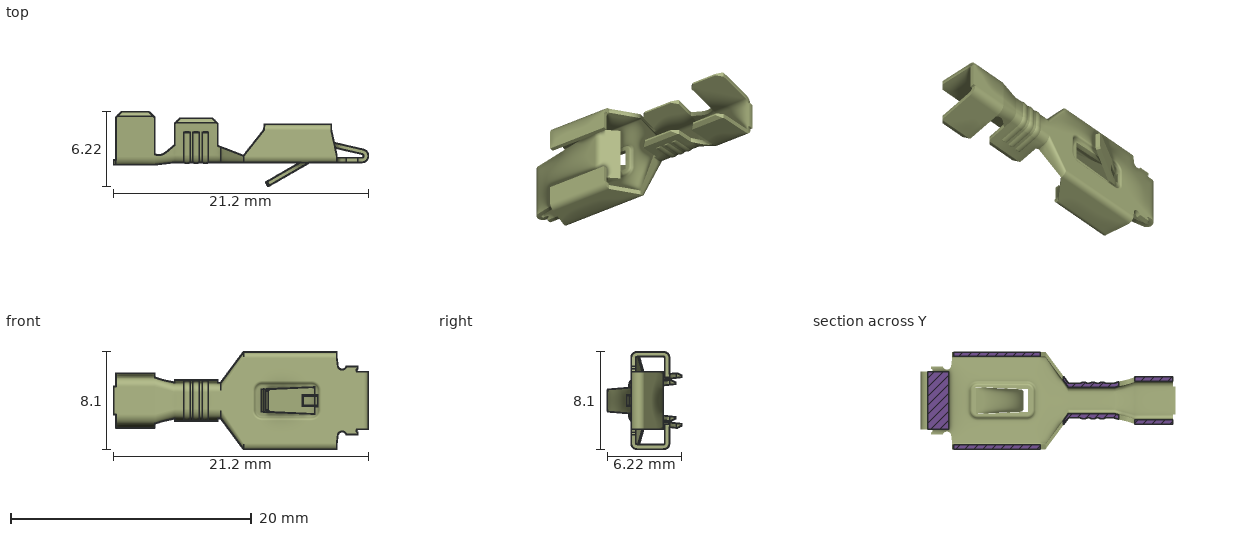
import cadquery as cq
import math

SHEET = 0.4
MARGIN = 1.0

TAB_LENGTH = 0.19
INSULATION_END_X = 3.42
INSULATION_BASE_Y = -0.19
INSULATION_TOP_Y = 4.23
INSULATION_FLAT = 1.18
INSULATION_RADIUS = 0.73

DIP_START_Y = 0.7
DIP_BOTTOM = (3.82, 0.62)
DIP_RISE = (4.3, 0.82)

WIRE_START_X = 5.06
WIRE_WING_END_X = 8.66
WIRE_END_X = 8.9
WIRE_BASE_Y = 0.0
WIRE_TOP_Y = 3.7
WIRE_FLAT = 0.735
WIRE_RADIUS = 0.68
WIRE_SIDE_START_Y = 1.45
WIRE_SIDE_END_Y = 1.4
WIRE_END_Y = 1.3

WING_LEAN = 6.5
WING_BEVEL_HEIGHT = 0.4
WING_BEVEL_DEPTH = 0.25
WING_CHAMFER = 0.48

BEAD_CENTERS_X = (6.09, 6.85, 7.62)
BEAD_HALF_WIDTH = 0.26
BEAD_HEIGHT = 0.07
BEAD_TOP_Y = 2.56
BEAD_END_BEVEL = 0.06

BODY_START_X = 10.8
BODY_END_X = 18.56
BODY_HALF_WIDTH = 4.05
BODY_HEIGHT = 3.2
BODY_RADIUS = 0.5
BODY_FLAT = BODY_HALF_WIDTH - BODY_RADIUS
LIP_EDGE_Z = 1.95
LIP_START_X = 12.54
LIP_END_X = 18.1
LIP_STEP_Z = 3.45
LIP_STEP = 0.12
WALL_TOP_START_X = 12.48
WALL_FOOT_Y = 0.57

NECK_START_X = 18.65
NECK_HALF_WIDTH = 2.84
NECK_END_X = 20.31
NOTCH_END_X = 19.34
NOTCH_BOTTOM_Z = 2.58
RELIEF_RADIUS = 0.12

SPRING_HALF_WIDTH = 2.4
FOLD_RADIUS = 0.55
FOLD_TIP_X = 21.18
SPRING_RISE = 13.0
SPRING_DIP = 41.0
CREST_X = 13.64
SPRING_END_X = 12.2
CREST_RADIUS = 0.55

PANEL_START_X = 11.52
PANEL_END_X = 17.27
PANEL_HALF_WIDTH = 1.645
PANEL_CORNER_RADIUS = 0.83
PANEL_DEPTH = 0.24
PANEL_SLOPE_WIDTH = 0.4

WINDOW_START_X = 12.26
LANCE_ROOT_X = 16.7
LANCE_ANGLE = 30.0
LANCE_LENGTH = 4.46
LANCE_TIP_HALF_WIDTH = 0.92
LANCE_ROOT_HALF_WIDTH = 1.11
WINDOW_CLEARANCE = 0.02
LANCE_TIP_CHAMFER = 0.14

DENT_START_X = 15.66
DENT_END_X = 16.97
DENT_HALF_WIDTH = 0.5
DENT_DEPTH = 0.14
DENT_DRAFT = 0.13


def sine(angle):
    return math.sin(math.radians(angle))


def cosine(angle):
    return math.cos(math.radians(angle))


def tangent(angle):
    return math.tan(math.radians(angle))


def bend_point(flat, radius, center_y, angle):
    """Point (y, z) on a floor bend, at an angle measured from the floor side."""
    return (center_y - radius * cosine(angle), flat + radius * sine(angle))


def mirrored(point):
    return (point[0], -point[1])


def wall_z(start, lean, y):
    """Z of a leaning wall at height y, for a wall that leaves its bend at start."""
    return start[1] + (y - start[0]) * tangent(lean)


def channel_section(plane, flat, radius, lean, base_y, top_y, bevelled=False):
    """Closed U-shaped sheet section, drawn on a plane across X."""
    center_y = base_y + radius
    sweep = 90 - lean
    inner_radius = radius - SHEET
    outer_mid = bend_point(flat, radius, center_y, sweep / 2)
    outer_end = bend_point(flat, radius, center_y, sweep)
    inner_mid = bend_point(flat, inner_radius, center_y, sweep / 2)
    inner_end = bend_point(flat, inner_radius, center_y, sweep)
    outer_tip = [(top_y, wall_z(outer_end, lean, top_y))]
    if bevelled:
        bevel_y = top_y - WING_BEVEL_HEIGHT
        bevel_start = (bevel_y, wall_z(outer_end, lean, bevel_y))
        outer_tip = [bevel_start, (top_y, outer_tip[0][1] - WING_BEVEL_DEPTH)]
    inner_tip = (top_y, wall_z(inner_end, lean, top_y))

    section = plane.moveTo(base_y, -flat).lineTo(base_y, flat)
    section = section.threePointArc(outer_mid, outer_end)
    for point in outer_tip:
        section = section.lineTo(*point)
    section = section.lineTo(*inner_tip).lineTo(*inner_end)
    section = section.threePointArc(inner_mid, (base_y + SHEET, flat))
    section = section.lineTo(base_y + SHEET, -flat)
    section = section.threePointArc(mirrored(inner_mid), mirrored(inner_end))
    section = section.lineTo(*mirrored(inner_tip))
    for point in reversed(outer_tip):
        section = section.lineTo(*mirrored(point))
    section = section.lineTo(*mirrored(outer_end))
    return section.threePointArc(mirrored(outer_mid), (base_y, -flat)).close()


def across(x):
    """Work plane across the terminal, with local axes Y and Z."""
    return cq.Workplane("YZ", origin=(x, 0, 0))


def side_prism(outline):
    """Solid with the given (x, y) outline that spans the whole width."""
    return outline.close().extrude(BODY_HALF_WIDTH + MARGIN, both=True)


def sheet_prism(outline, start_y, end_y):
    """Solid with the given XZ-plane outline, between two heights in Y."""
    return outline.extrude(start_y - end_y).translate((0, start_y, 0))


def insulation_crimp():
    length = INSULATION_END_X - TAB_LENGTH
    crimp = channel_section(
        across(TAB_LENGTH), INSULATION_FLAT, INSULATION_RADIUS, WING_LEAN,
        INSULATION_BASE_Y, INSULATION_TOP_Y, bevelled=True,
    ).extrude(length)
    keep = cq.Workplane("XY").polyline([
        (TAB_LENGTH, INSULATION_BASE_Y - MARGIN),
        (INSULATION_END_X, INSULATION_BASE_Y - MARGIN),
        (INSULATION_END_X, INSULATION_TOP_Y - WING_CHAMFER),
        (INSULATION_END_X - WING_CHAMFER, INSULATION_TOP_Y),
        (TAB_LENGTH + WING_CHAMFER, INSULATION_TOP_Y),
        (TAB_LENGTH, INSULATION_TOP_Y - WING_CHAMFER),
    ])
    tab = cq.Workplane("XY").box(
        TAB_LENGTH + SHEET, SHEET, 2 * INSULATION_FLAT, centered=(False, False, True)
    ).translate((0, INSULATION_BASE_Y, 0))
    return crimp.intersect(side_prism(keep)).union(tab)


def crimp_transition():
    """Tapered channel from the insulation crimp to the wire crimp, with a curved upper edge."""
    length = WIRE_START_X - INSULATION_END_X
    start = channel_section(
        across(INSULATION_END_X), INSULATION_FLAT, INSULATION_RADIUS, WING_LEAN,
        INSULATION_BASE_Y, WIRE_SIDE_START_Y,
    )
    channel = channel_section(
        start.workplane(offset=length), WIRE_FLAT, WIRE_RADIUS, WING_LEAN,
        WIRE_BASE_Y, WIRE_SIDE_START_Y,
    ).loft(ruled=True)
    edge_curve = [DIP_BOTTOM, DIP_RISE, (WIRE_START_X, WIRE_SIDE_START_Y)]
    keep = (
        cq.Workplane("XY").moveTo(INSULATION_END_X, INSULATION_BASE_Y - MARGIN)
        .lineTo(INSULATION_END_X, DIP_START_Y)
        .spline(edge_curve, includeCurrent=True)
        .lineTo(WIRE_START_X, INSULATION_BASE_Y - MARGIN)
    )
    return channel.intersect(side_prism(keep))


def wire_crimp():
    crimp = channel_section(
        across(WIRE_START_X), WIRE_FLAT, WIRE_RADIUS, WING_LEAN,
        WIRE_BASE_Y, WIRE_TOP_Y, bevelled=True,
    ).extrude(WIRE_END_X - WIRE_START_X)
    keep = cq.Workplane("XY").polyline([
        (WIRE_START_X, WIRE_BASE_Y - MARGIN),
        (WIRE_END_X, WIRE_BASE_Y - MARGIN),
        (WIRE_END_X, WIRE_END_Y),
        (WIRE_WING_END_X, WIRE_SIDE_END_Y),
        (WIRE_WING_END_X, WIRE_TOP_Y - WING_CHAMFER),
        (WIRE_WING_END_X - WING_CHAMFER, WIRE_TOP_Y),
        (WIRE_START_X + WING_CHAMFER, WIRE_TOP_Y),
        (WIRE_START_X, WIRE_TOP_Y - WING_CHAMFER),
    ])
    return crimp.intersect(side_prism(keep))


def wire_bead(center_x):
    """Rounded bead that follows the outer face of the wire crimp from wing to wing."""
    center_y = WIRE_BASE_Y + WIRE_RADIUS
    sweep = 90 - WING_LEAN
    bend_mid = bend_point(WIRE_FLAT, WIRE_RADIUS, center_y, sweep / 2)
    bend_end = bend_point(WIRE_FLAT, WIRE_RADIUS, center_y, sweep)
    bead_end = (BEAD_TOP_Y, wall_z(bend_end, WING_LEAN, BEAD_TOP_Y))
    path = (
        across(center_x).moveTo(*mirrored(bead_end))
        .lineTo(*mirrored(bend_end))
        .threePointArc(mirrored(bend_mid), (WIRE_BASE_Y, -WIRE_FLAT))
        .lineTo(WIRE_BASE_Y, WIRE_FLAT)
        .threePointArc(bend_mid, bend_end)
        .lineTo(*bead_end)
    )
    start_plane = cq.Plane(
        origin=(center_x, bead_end[0], -bead_end[1]),
        xDir=(1, 0, 0),
        normal=(0, cosine(WING_LEAN), -sine(WING_LEAN)),
    )
    root_depth = SHEET / 2
    arc_radius = (BEAD_HALF_WIDTH**2 + BEAD_HEIGHT**2) / (2 * BEAD_HEIGHT)
    arc_run = BEAD_HALF_WIDTH / 2
    arc_height = BEAD_HEIGHT - arc_radius + math.sqrt(arc_radius**2 - arc_run**2)
    profile = (
        cq.Workplane(start_plane).moveTo(-BEAD_HALF_WIDTH, -root_depth)
        .lineTo(-BEAD_HALF_WIDTH, 0)
        .threePointArc((-arc_run, arc_height), (0, BEAD_HEIGHT))
        .threePointArc((arc_run, arc_height), (BEAD_HALF_WIDTH, 0))
        .lineTo(BEAD_HALF_WIDTH, -root_depth)
        .close()
    )
    bead = profile.sweep(path)
    tip_y = bead_end[0]
    crown_edges = cq.selectors.BoxSelector(
        (center_x - BEAD_HALF_WIDTH, tip_y - BEAD_HEIGHT, -BODY_HALF_WIDTH),
        (center_x + BEAD_HALF_WIDTH, tip_y + BEAD_HEIGHT, BODY_HALF_WIDTH),
    )
    return bead.edges(crown_edges).edges("%CIRCLE").chamfer(BEAD_END_BEVEL)


def body_transition():
    """Flaring channel from the wire crimp to the body floor."""
    start = channel_section(
        across(WIRE_END_X), WIRE_FLAT, WIRE_RADIUS, WING_LEAN, WIRE_BASE_Y, WIRE_END_Y,
    )
    return channel_section(
        start.workplane(offset=BODY_START_X - WIRE_END_X), BODY_FLAT, BODY_RADIUS, 0,
        0, WALL_FOOT_Y,
    ).loft(ruled=True)


def body_shell():
    """Floor, side walls and inward lips, with the walls trimmed to slanted ends."""
    length = BODY_END_X - BODY_START_X

    def tube(inset):
        return (
            across(BODY_START_X).center(BODY_HEIGHT / 2, 0)
            .rect(BODY_HEIGHT - 2 * inset, 2 * (BODY_HALF_WIDTH - inset))
            .extrude(length).edges("|X").fillet(BODY_RADIUS - inset)
        )

    lip_gap = cq.Workplane("XY").box(
        length, 2 * SHEET, 2 * LIP_EDGE_Z, centered=(False, True, True)
    ).translate((BODY_START_X, BODY_HEIGHT, 0))
    outer_z = LIP_STEP_Z + LIP_STEP / 2
    inner_z = LIP_STEP_Z - LIP_STEP / 2
    step_x = LIP_START_X + LIP_STEP
    lip_step = sheet_prism(
        cq.Workplane("XZ").polyline([
            (BODY_START_X, -outer_z), (LIP_START_X, -outer_z), (step_x, -inner_z),
            (step_x, inner_z), (LIP_START_X, outer_z), (BODY_START_X, outer_z),
        ]).close(),
        BODY_HEIGHT - SHEET, BODY_HEIGHT + MARGIN,
    )
    keep = cq.Workplane("XY").polyline([
        (BODY_START_X, -MARGIN),
        (BODY_START_X, WALL_FOOT_Y),
        (WALL_TOP_START_X, BODY_HEIGHT - BODY_RADIUS),
        (LIP_START_X, BODY_HEIGHT),
        (LIP_END_X, BODY_HEIGHT),
        (LIP_END_X, BODY_HEIGHT - BODY_RADIUS),
        (BODY_END_X, WALL_FOOT_Y),
        (BODY_END_X, -MARGIN),
    ])
    return tube(0).cut(tube(SHEET)).cut(lip_gap).intersect(side_prism(keep)).cut(lip_step)


def neck():
    """Flat floor past the body, notched on both edges and relieved beside the fold."""
    overlap_x = BODY_END_X - SHEET
    fold_x = FOLD_TIP_X - FOLD_RADIUS
    half = (
        cq.Workplane("XZ").moveTo(overlap_x, 0)
        .lineTo(overlap_x, BODY_FLAT)
        .lineTo(BODY_END_X, BODY_FLAT)
        .lineTo(NECK_START_X, NECK_HALF_WIDTH)
        .threePointArc(
            ((NECK_START_X + NOTCH_END_X) / 2, NOTCH_BOTTOM_Z), (NOTCH_END_X, NECK_HALF_WIDTH)
        )
        .lineTo(NECK_END_X, NECK_HALF_WIDTH)
        .lineTo(NECK_END_X, SPRING_HALF_WIDTH)
        .lineTo(fold_x, SPRING_HALF_WIDTH)
        .lineTo(fold_x, 0)
        .close()
    )
    plate = sheet_prism(half, 0, SHEET)
    relief = sheet_prism(
        cq.Workplane("XZ").center(NECK_END_X, SPRING_HALF_WIDTH + RELIEF_RADIUS).circle(RELIEF_RADIUS),
        -MARGIN, MARGIN,
    )
    plate = plate.cut(relief)
    return plate.union(plate.mirror("XY"))


def spring():
    """Strip folded back from the neck, extruded from its side outline."""
    fold_x = FOLD_TIP_X - FOLD_RADIUS
    inner_radius = FOLD_RADIUS - SHEET

    def fold_point(radius):
        return (fold_x + radius * sine(SPRING_RISE), FOLD_RADIUS + radius * cosine(SPRING_RISE))

    outer_start = fold_point(FOLD_RADIUS)
    inner_start = fold_point(inner_radius)
    crest = (CREST_X, outer_start[1] + (outer_start[0] - CREST_X) * tangent(SPRING_RISE))
    end_drop = (CREST_X - SPRING_END_X) * tangent(SPRING_DIP)
    end_top = (SPRING_END_X, crest[1] - end_drop)
    end_bottom = (
        end_top[0] + SHEET * sine(SPRING_DIP),
        end_top[1] - SHEET * cosine(SPRING_DIP),
    )
    half_turn = (SPRING_RISE + SPRING_DIP) / 2
    bisector = SPRING_DIP - half_turn
    miter = SHEET / cosine(half_turn)
    crest_bottom = (crest[0] + miter * sine(bisector), crest[1] - miter * cosine(bisector))

    strip = (
        cq.Workplane("XY").moveTo(fold_x, 0)
        .threePointArc((FOLD_TIP_X, FOLD_RADIUS), outer_start)
        .lineTo(*crest)
        .lineTo(*end_top)
        .lineTo(*end_bottom)
        .lineTo(*crest_bottom)
        .lineTo(*inner_start)
        .threePointArc((fold_x + inner_radius, FOLD_RADIUS), (fold_x, SHEET))
        .close()
        .extrude(SPRING_HALF_WIDTH, both=True)
    )
    strip = strip.edges(cq.selectors.NearestToPointSelector((*crest, 0))).fillet(CREST_RADIUS)
    underside = cq.selectors.NearestToPointSelector((*crest_bottom, 0))
    return strip.edges(underside).fillet(CREST_RADIUS - SHEET)


def panel_recess():
    """Rounded-rectangle recess whose rim is an S of two equal arcs."""
    center_x = (PANEL_START_X + PANEL_END_X) / 2
    length = PANEL_END_X - PANEL_START_X
    floor_half_width = PANEL_HALF_WIDTH - PANEL_SLOPE_WIDTH
    floor = sheet_prism(
        cq.Workplane("XZ").center(center_x, 0)
        .rect(length - 2 * PANEL_SLOPE_WIDTH, 2 * floor_half_width),
        0, PANEL_DEPTH,
    ).edges("|Y").fillet(PANEL_CORNER_RADIUS - PANEL_SLOPE_WIDTH)

    run = PANEL_SLOPE_WIDTH / 2
    rise = PANEL_DEPTH / 2
    arc_radius = (run**2 + rise**2) / (2 * rise)
    half_sweep = math.degrees(math.asin(run / arc_radius)) / 2
    arc_run = arc_radius * sine(half_sweep)
    arc_rise = arc_radius * (1 - cosine(half_sweep))
    rim_profile = (
        across(center_x).moveTo(0, floor_half_width)
        .lineTo(0, PANEL_HALF_WIDTH)
        .threePointArc((arc_rise, PANEL_HALF_WIDTH - arc_run), (rise, PANEL_HALF_WIDTH - run))
        .threePointArc((PANEL_DEPTH - arc_rise, floor_half_width + arc_run),
                       (PANEL_DEPTH, floor_half_width))
        .close()
    )
    rim = rim_profile.sweep(floor.faces("<Y").wires())
    return floor.union(rim)


def lance_outline(start_x, clearance):
    """Tapered lance shape on the XZ plane, from start_x to the root."""
    tip = LANCE_TIP_HALF_WIDTH + clearance
    root = LANCE_ROOT_HALF_WIDTH + clearance
    return cq.Workplane("XZ").polyline([
        (start_x, -tip), (LANCE_ROOT_X, -root), (LANCE_ROOT_X, root), (start_x, tip),
    ]).close()


def lance_window():
    return sheet_prism(lance_outline(WINDOW_START_X, WINDOW_CLEARANCE), 0, PANEL_DEPTH + 2 * SHEET)


def lance():
    root = (LANCE_ROOT_X, PANEL_DEPTH)
    tip_bottom = (
        root[0] - LANCE_LENGTH * cosine(LANCE_ANGLE),
        root[1] - LANCE_LENGTH * sine(LANCE_ANGLE),
    )
    tip_top = (
        tip_bottom[0] - SHEET * sine(LANCE_ANGLE),
        tip_bottom[1] + SHEET * cosine(LANCE_ANGLE),
    )
    bend_top = (root[0] - SHEET * tangent(LANCE_ANGLE / 2), root[1] + SHEET)
    strip = side_prism(cq.Workplane("XY").polyline([
        root, tip_bottom, tip_top, bend_top, (root[0], bend_top[1]),
    ]))
    taper = sheet_prism(lance_outline(tip_top[0], 0), -BODY_HEIGHT, BODY_HEIGHT)
    return strip.intersect(taper).faces("<X").edges("not |Z").chamfer(LANCE_TIP_CHAMFER)


def lance_dent():
    """Shallow dent of even depth that runs over the bend at the lance root."""
    lance_y = PANEL_DEPTH - (LANCE_ROOT_X - DENT_START_X) * tangent(LANCE_ANGLE)
    dent = cq.Workplane("XY").polyline([
        (DENT_START_X, lance_y - MARGIN),
        (DENT_END_X, lance_y - MARGIN),
        (DENT_END_X, PANEL_DEPTH + DENT_DEPTH),
        (LANCE_ROOT_X, PANEL_DEPTH + DENT_DEPTH),
        (DENT_START_X, lance_y + DENT_DEPTH),
    ]).close().extrude(DENT_HALF_WIDTH, both=True)
    floor_rim = "(not |Y) and (not <Y) and (#Z or <X)"
    return dent.edges(floor_rim).chamfer(DENT_DRAFT)


def body():
    recess = panel_recess()
    shell = body_shell().union(recess.translate((0, SHEET, 0))).cut(recess)
    return shell.cut(lance_window()).union(lance()).cut(lance_dent())


result = insulation_crimp().union(crimp_transition()).union(wire_crimp())
for bead_x in BEAD_CENTERS_X:
    result = result.union(wire_bead(bead_x))
result = result.union(body_transition()).union(body()).union(neck()).union(spring())